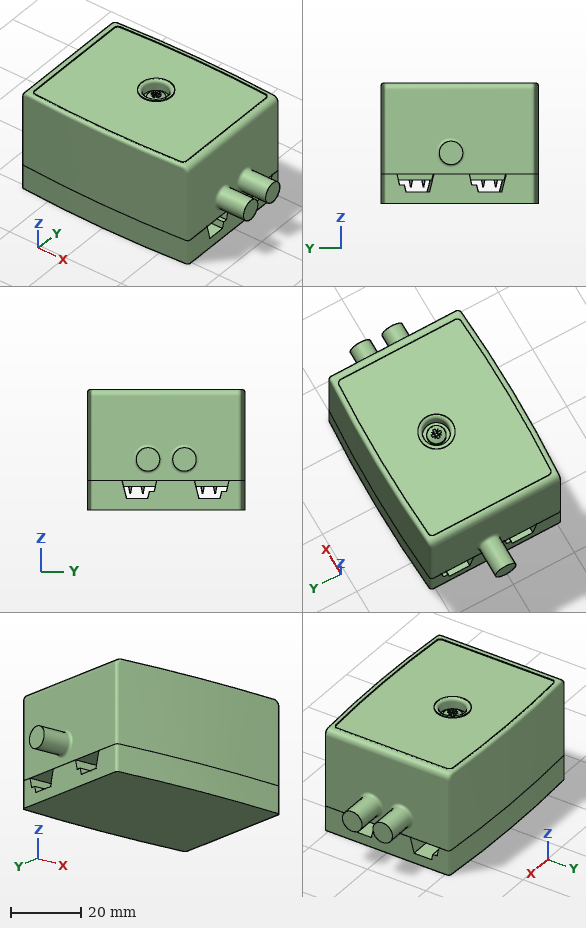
import cadquery as cq
import math

TOTAL_LENGTH = 80.0
BOX_LENGTH = 60.0
BOX_END_WIDTH = 42.8
BOX_HEIGHT = 34.5
SIDE_RADIUS = 409.6
BASE_HEIGHT = 8.4
TOP_END_RADIUS = 2.0
SIDE_EDGE_RADIUS = 1.0

LABEL_MARGIN = 0.7
LABEL_DEPTH = 0.3
LABEL_CORNER_RADIUS = 1.3

SCREW_Y = 2.7
WELL_RIM_DIAMETER = 10.6
WELL_DIAMETER = 8.0
WELL_MOUTH_RADIUS = 1.0
WELL_DEPTH = 3.4
HEAD_DIAMETER = 5.6
HEAD_EDGE_HEIGHT = 0.8
HEAD_DOME_HEIGHT = 1.0
SHANK_DIAMETER = 3.2
SHANK_END_Z = BASE_HEIGHT / 2
CROSS_SPAN = 3.7
CROSS_FLOOR_SPAN = 0.6
CROSS_SLOT_WIDTH = 0.8
CROSS_DEPTH = 1.1
CROSS_TICK_SPAN = 3.2
CROSS_TICK_WIDTH = 0.1
CROSS_TICK_DEPTH = 0.2

STUB_DIAMETER = 6.7
STUB_FLARE_RADIUS = 0.9
STUB_Z = 14.5
INLET_Y = 2.5
OUTLET_PITCH = 10.4

CHANNEL_PITCH = 20.6
CHANNEL_Y = 2.3
CHANNEL_TOP_WIDTH = 10.6
CHANNEL_FLOOR_Z = 3.4
CHANNEL_STEP_Z = 5.4
CHANNEL_STEP_WIDTH = 1.4
CHANNEL_WALL_SLOPE = 0.25
CHANNEL_TAPER = 0.7

PAD_LENGTH = 24.0
PAD_HEIGHT = 1.7
PIN_PITCH = 3.6
PIN_OFFSET = -0.5
PIN_ROOT_DIAMETER = 1.0
PIN_TIP_DIAMETER = 0.2
PIN_LENGTH = 1.9

HALF_LENGTH = BOX_LENGTH / 2
SIDE_BULGE = SIDE_RADIUS - math.sqrt(SIDE_RADIUS ** 2 - HALF_LENGTH ** 2)
HALF_WIDTH = BOX_END_WIDTH / 2 + SIDE_BULGE
CHANNEL_CENTERS = [CHANNEL_Y + side * CHANNEL_PITCH / 2 for side in (-1, 1)]
LABEL_FLOOR_Z = BOX_HEIGHT - LABEL_DEPTH
WELL_FLOOR_Z = BOX_HEIGHT - WELL_DEPTH


def bulged_plan(end_inset, side_inset):
    """Plan outline moved inward at its ends and at its bowed sides."""
    half_length = HALF_LENGTH - end_inset
    radius = SIDE_RADIUS - side_inset
    middle_y = HALF_WIDTH - side_inset
    corner_y = middle_y - (radius - math.sqrt(radius ** 2 - half_length ** 2))
    return (
        cq.Workplane("XY")
        .moveTo(-half_length, -corner_y)
        .threePointArc((0, -middle_y), (half_length, -corner_y))
        .lineTo(half_length, corner_y)
        .threePointArc((0, middle_y), (-half_length, corner_y))
        .close()
    )


def box_between(z_low, z_high, length=TOTAL_LENGTH, width=TOTAL_LENGTH):
    """Block centred on the Z axis between two heights."""
    return cq.Workplane("XY").workplane(offset=z_low).rect(length, width).extrude(z_high - z_low)


def enclosure():
    """Outer block of base and cover together, with its rounded edges."""
    block = bulged_plan(0, 0).extrude(BOX_HEIGHT)
    block = block.faces(">Z").edges("|Y").fillet(TOP_END_RADIUS)
    side_edges = block.faces("<Y or >Y").edges("not <Z")
    return side_edges.fillet(SIDE_EDGE_RADIUS)


def label_recess():
    """Shallow pocket in the top that leaves a raised ring around the screw well."""
    plan = bulged_plan(TOP_END_RADIUS + LABEL_MARGIN, SIDE_EDGE_RADIUS + LABEL_MARGIN)
    pocket = plan.extrude(LABEL_DEPTH).edges("|Z").fillet(LABEL_CORNER_RADIUS)
    ring = cq.Workplane("XY").center(0, SCREW_Y).circle(WELL_RIM_DIAMETER / 2).extrude(LABEL_DEPTH)
    return pocket.cut(ring).translate((0, 0, LABEL_FLOOR_Z))


def screw_well():
    """Round well with a flared mouth, turned about the screw axis."""
    radius = WELL_DIAMETER / 2
    mouth = WELL_MOUTH_RADIUS
    arc_run = mouth * (1 - math.sqrt(0.5))
    return (
        cq.Workplane("XZ")
        .moveTo(0, WELL_FLOOR_Z)
        .lineTo(radius, WELL_FLOOR_Z)
        .lineTo(radius, BOX_HEIGHT - mouth)
        .threePointArc((radius + arc_run, BOX_HEIGHT - arc_run), (radius + mouth, BOX_HEIGHT))
        .lineTo(0, BOX_HEIGHT)
        .close()
        .revolve(360, (0, 0, 0), (0, 1, 0))
        .translate((0, SCREW_Y, 0))
    )


def screw_shank():
    """Plain shank, also used to cut its hole."""
    return (
        cq.Workplane("XY", origin=(0, SCREW_Y, SHANK_END_Z))
        .circle(SHANK_DIAMETER / 2)
        .extrude(WELL_FLOOR_Z - SHANK_END_Z)
    )


def cross_arm(top):
    """Slot along X whose ends slope down to a small flat floor."""
    return (
        cq.Workplane("XZ")
        .moveTo(-CROSS_SPAN / 2, top)
        .lineTo(-CROSS_FLOOR_SPAN / 2, top - CROSS_DEPTH)
        .lineTo(CROSS_FLOOR_SPAN / 2, top - CROSS_DEPTH)
        .lineTo(CROSS_SPAN / 2, top)
        .close()
        .extrude(CROSS_SLOT_WIDTH / 2, both=True)
    )


def screw_head():
    """Domed head with a cross recess and four short diagonal marks."""
    radius = HEAD_DIAMETER / 2
    top = HEAD_EDGE_HEIGHT + HEAD_DOME_HEIGHT
    dome_radius = (radius ** 2 + HEAD_DOME_HEIGHT ** 2) / (2 * HEAD_DOME_HEIGHT)
    half_radius_drop = dome_radius - math.sqrt(dome_radius ** 2 - (radius / 2) ** 2)
    head = (
        cq.Workplane("XZ")
        .lineTo(radius, 0)
        .lineTo(radius, HEAD_EDGE_HEIGHT)
        .threePointArc((radius / 2, top - half_radius_drop), (0, top))
        .close()
        .revolve(360, (0, 0, 0), (0, 1, 0))
    )
    for turn in (0, 90):
        head = head.cut(cross_arm(top).rotate((0, 0, 0), (0, 0, 1), turn))
    for turn in (45, 135):
        tick = box_between(top - CROSS_TICK_DEPTH, top, CROSS_TICK_SPAN, CROSS_TICK_WIDTH)
        head = head.cut(tick.rotate((0, 0, 0), (0, 0, 1), turn))
    return head.translate((0, SCREW_Y, WELL_FLOOR_Z))


def cable_stub(side, y):
    """Round stub on the -X or +X end (side = -1 or 1), flared where it leaves the cover."""
    radius = STUB_DIAMETER / 2
    flare = STUB_FLARE_RADIUS
    arc_run = flare * (1 - math.sqrt(0.5))
    root_x = HALF_LENGTH
    profile = (
        cq.Workplane("XY")
        .moveTo(side * root_x, 0)
        .lineTo(side * root_x, radius + flare)
        .threePointArc((side * (root_x + arc_run), radius + arc_run), (side * (root_x + flare), radius))
        .lineTo(side * TOTAL_LENGTH / 2, radius)
        .lineTo(side * TOTAL_LENGTH / 2, 0)
        .close()
    )
    return profile.revolve(360, (0, 0, 0), (1, 0, 0)).translate((0, y, STUB_Z))


def channel_section(drift):
    """Stepped trapezoid of a channel; drift moves its -Y wall inward."""
    half_top = CHANNEL_TOP_WIDTH / 2
    step_run = CHANNEL_WALL_SLOPE * (BASE_HEIGHT - CHANNEL_STEP_Z)
    floor_run = CHANNEL_WALL_SLOPE * (BASE_HEIGHT - CHANNEL_FLOOR_Z)
    return [
        (half_top, BASE_HEIGHT),
        (half_top - step_run, CHANNEL_STEP_Z),
        (half_top - step_run - CHANNEL_STEP_WIDTH, CHANNEL_STEP_Z),
        (half_top - floor_run - CHANNEL_STEP_WIDTH, CHANNEL_FLOOR_Z),
        (-half_top + floor_run + drift, CHANNEL_FLOOR_Z),
        (-half_top + drift, BASE_HEIGHT),
    ]


def cable_channel(y):
    """Channel from end to end of the base, open at the parting plane."""
    return (
        cq.Workplane("YZ", origin=(-HALF_LENGTH, y, 0))
        .polyline(channel_section(0))
        .close()
        .workplane(offset=BOX_LENGTH)
        .polyline(channel_section(CHANNEL_TAPER))
        .close()
        .loft(ruled=True)
    )


def channel_pad(y):
    """Pad that fills the top of a channel at mid-length, with two piercing pins."""
    pad_bottom = BASE_HEIGHT - PAD_HEIGHT
    pad = cable_channel(y).intersect(box_between(pad_bottom, BASE_HEIGHT, PAD_LENGTH))
    for side in (-1, 1):
        pin = cq.Solid.makeCone(
            PIN_ROOT_DIAMETER / 2,
            PIN_TIP_DIAMETER / 2,
            PIN_LENGTH,
            pnt=cq.Vector(0, y + PIN_OFFSET + side * PIN_PITCH / 2, pad_bottom),
            dir=cq.Vector(0, 0, -1),
        )
        pad = pad.union(cq.Workplane(pin))
    return pad


def make_cover():
    cover = enclosure().intersect(box_between(BASE_HEIGHT, BOX_HEIGHT))
    cover = cover.cut(label_recess()).cut(screw_well()).cut(screw_shank())
    cover = cover.union(cable_stub(-1, INLET_Y))
    for side in (-1, 1):
        cover = cover.union(cable_stub(1, side * OUTLET_PITCH / 2))
    for y in CHANNEL_CENTERS:
        cover = cover.union(channel_pad(y))
    return cover


def make_base():
    base = enclosure().intersect(box_between(0, BASE_HEIGHT))
    for y in CHANNEL_CENTERS:
        base = base.cut(cable_channel(y))
    return base.cut(screw_shank())


def make_screw():
    return screw_head().union(screw_shank())


cover = make_cover()
base = make_base()
screw = make_screw()

result = cq.Compound.makeCompound([cover.val(), base.val(), screw.val()])